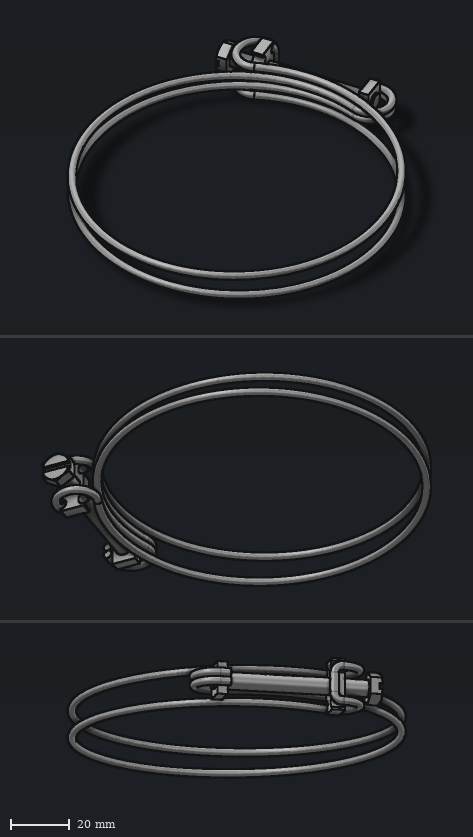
import cadquery as cq
import math


wire_diameter = 3.0
wire_radius = wire_diameter / 2
ring_outer_radius = 57.435
ring_radius = ring_outer_radius - wire_radius

loop_z = 6.1
strand_hook_z = wire_radius

overall_y = 125.43
hook_offset_x = 21.6
hook_top_y = overall_y - ring_outer_radius - wire_radius
hook_radius = (hook_offset_x**2 + hook_top_y**2 - ring_radius**2) / (2 * (ring_radius + hook_top_y))
hook_center_y = hook_top_y - hook_radius
tangent_angle = math.degrees(math.atan2(hook_center_y, hook_offset_x))
strand_tail_length = 3.7

bridge_lead = 0.5
bridge_bend_radius = 2.7

bar_depth_y = 8.6
bar_wire_gap = 0.05
screw_axis_y = hook_top_y - wire_radius - bar_wire_gap - bar_depth_y / 2
slide_bar_x = -22.4
slide_bar_width = 4.5
slide_bar_height = 18.0
notch_radius = 2.0
nut_bar_x = 18.4
nut_bar_width = 3.7
nut_bar_height = 11.4

screw_diameter = 6.0
screw_tip_x = 22.9
head_start_x = -35.5
head_length = 4.3
head_across_flats = 10.0
head_chamfer_slope = math.tan(math.radians(30))
slot_width = 2.0
slot_depth = 1.2


def point_on_arc(center_x, center_y, radius, angle, z):
    """Point at the given angle in degrees on a circle lying at height z."""
    turn = math.radians(angle)
    return cq.Vector(center_x + radius * math.cos(turn), center_y + radius * math.sin(turn), z)


def hook_arc(center_x, start_angle, end_angle, z):
    """Edge along one hook, from one angle to the other."""
    middle_angle = (start_angle + end_angle) / 2
    points = [
        point_on_arc(center_x, hook_center_y, hook_radius, angle, z)
        for angle in (start_angle, middle_angle, end_angle)
    ]
    return cq.Edge.makeThreePointArc(*points)


def sweep_wire(path, start, direction, frenet=False):
    """Round wire swept along a path that leaves the start point in the given direction."""
    profile_plane = cq.Plane(origin=start, xDir=(0, 0, 1), normal=direction)
    profile = cq.Workplane(profile_plane).circle(wire_radius)
    return profile.sweep(cq.Workplane(obj=path), isFrenet=frenet)


def make_loop():
    """U-shaped loop: two hooks on the left, joined by a bridge across the sliding bar."""
    bend_start_x = -hook_offset_x + bridge_lead
    bridge_x = bend_start_x + bridge_bend_radius
    bridge_z = loop_z - bridge_bend_radius
    bend_middle = bridge_bend_radius * math.sqrt(0.5)

    def bridge_bend(side):
        return cq.Edge.makeThreePointArc(
            cq.Vector(bend_start_x, hook_top_y, side * loop_z),
            cq.Vector(bend_start_x + bend_middle, hook_top_y, side * (bridge_z + bend_middle)),
            cq.Vector(bridge_x, hook_top_y, side * bridge_z),
        )

    def lead(side):
        return cq.Edge.makeLine(
            cq.Vector(-hook_offset_x, hook_top_y, side * loop_z),
            cq.Vector(bend_start_x, hook_top_y, side * loop_z),
        )

    ring_joint_angle = 360 - tangent_angle
    bridge = cq.Edge.makeLine(
        cq.Vector(bridge_x, hook_top_y, bridge_z),
        cq.Vector(bridge_x, hook_top_y, -bridge_z),
    )
    path = cq.Wire.assembleEdges([
        hook_arc(-hook_offset_x, ring_joint_angle, 90, loop_z),
        lead(1),
        bridge_bend(1),
        bridge,
        bridge_bend(-1),
        lead(-1),
        hook_arc(-hook_offset_x, 90, ring_joint_angle, -loop_z),
    ])
    start = point_on_arc(-hook_offset_x, hook_center_y, hook_radius, ring_joint_angle, loop_z)
    turn = math.radians(ring_joint_angle)
    return sweep_wire(path, start, (math.sin(turn), -math.cos(turn), 0))


def make_upper_strand():
    """Ring turn climbing from the right hook to the left loop, with its right hook and tail."""
    strand_turn = 360 + 2 * (90 - tangent_angle)
    rise = loop_z - strand_hook_z
    helix = cq.Wire.makeHelix(rise * 360 / strand_turn, rise, ring_radius)
    helix = helix.rotate(cq.Vector(0, 0, 0), cq.Vector(0, 0, 1), tangent_angle)
    helix = helix.translate(cq.Vector(0, 0, strand_hook_z))
    joint = point_on_arc(0, 0, ring_radius, tangent_angle, strand_hook_z)
    turn = math.radians(tangent_angle)
    tangent = cq.Vector(-math.sin(turn), math.cos(turn), 0)
    ring = sweep_wire(helix, joint, tangent, frenet=True)

    tail_start = cq.Vector(hook_offset_x, hook_top_y, strand_hook_z)
    tail_end = tail_start - cq.Vector(strand_tail_length, 0, 0)
    hook_path = cq.Wire.assembleEdges([
        hook_arc(hook_offset_x, tangent_angle - 180, 90, strand_hook_z),
        cq.Edge.makeLine(tail_start, tail_end),
    ])
    hook = sweep_wire(hook_path, joint, -tangent)
    return ring.union(hook)


def make_bar(start_x, width, height):
    """Crossbar with a through hole for the screw."""
    bar = cq.Workplane("XY").box(width, bar_depth_y, height)
    hole = cq.Workplane("YZ").circle(screw_diameter / 2).extrude(width, both=True)
    return bar.cut(hole).translate((start_x + width / 2, screw_axis_y, 0))


def make_slide_bar():
    """Long crossbar, notched on both edges for the two wires of the loop."""
    bar = make_bar(slide_bar_x, slide_bar_width, slide_bar_height)
    notches = (
        cq.Workplane("YZ", origin=(slide_bar_x, screw_axis_y, 0))
        .rarray(bar_depth_y, 2 * loop_z, 2, 2)
        .circle(notch_radius)
        .extrude(slide_bar_width)
    )
    return bar.cut(notches)


def make_screw():
    """Hexagon-head screw with a chamfered, slotted head."""
    head_end_x = head_start_x + head_length
    across_corners = head_across_flats / math.cos(math.radians(30))
    head = (
        cq.Workplane("YZ", origin=(head_start_x, 0, 0))
        .polygon(6, across_corners)
        .extrude(head_length)
        .rotate((0, 0, 0), (1, 0, 0), 90)
    )
    corner_radius = across_corners / 2
    face_radius = head_across_flats / 2
    chamfer_depth = (corner_radius - face_radius) * head_chamfer_slope
    chamfer_envelope = (
        cq.Workplane("XY")
        .moveTo(head_start_x, 0)
        .lineTo(head_start_x, face_radius)
        .lineTo(head_start_x + chamfer_depth, corner_radius)
        .lineTo(head_end_x, corner_radius)
        .lineTo(head_end_x, 0)
        .close()
        .revolve(360, (0, 0, 0), (1, 0, 0))
    )
    slot = cq.Workplane("XY").box(2 * slot_depth, across_corners, slot_width).translate((head_start_x, 0, 0))
    shank = (
        cq.Workplane("YZ", origin=(head_end_x, 0, 0))
        .circle(screw_diameter / 2)
        .extrude(screw_tip_x - head_end_x)
    )
    return head.intersect(chamfer_envelope).cut(slot).union(shank).translate((0, screw_axis_y, 0))


loop = make_loop()
upper_strand = make_upper_strand()
strands = [upper_strand, upper_strand.mirror("XY")]
slide_bar = make_slide_bar()
nut_bar = make_bar(nut_bar_x, nut_bar_width, nut_bar_height)
screw = make_screw()

result = cq.Compound.makeCompound([
    loop.val(),
    *[strand.val() for strand in strands],
    slide_bar.val(),
    nut_bar.val(),
    screw.val(),
])